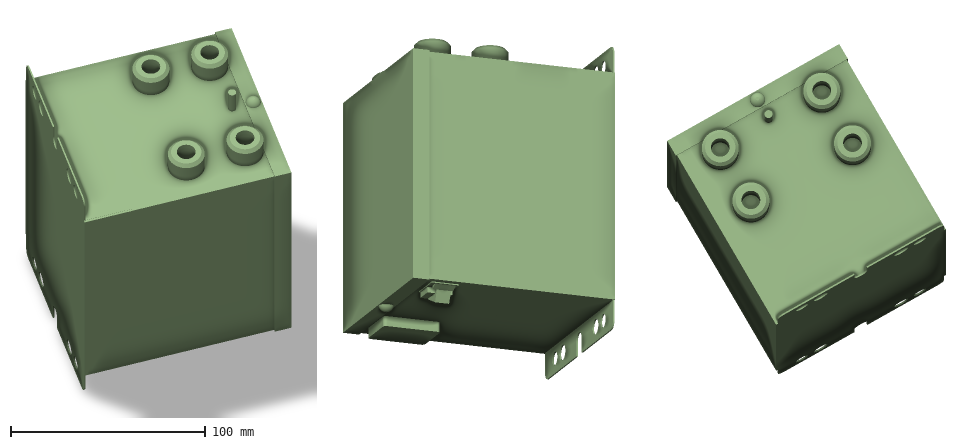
import cadquery as cq
import math

COVER_WIDTH = 102.11
TOTAL_DEPTH = 111.51
PLATE_HEIGHT = 152.4

COVER_HEIGHT = 123.8
COVER_DEPTH = 8.96
COVER_STEP = 0.7
BODY_WIDTH = COVER_WIDTH - 2 * COVER_STEP
BODY_HEIGHT = COVER_HEIGHT - 2 * COVER_STEP
FRONT_Y = -TOTAL_DEPTH / 2
REAR_Y = TOTAL_DEPTH / 2
BODY_TOP = BODY_HEIGHT / 2
BODY_BOTTOM = -BODY_TOP

EDGE_STEP_WIDTH = 1.2
EDGE_STEP_LENGTH = 25.7
EDGE_STEP_DEPTH = 0.1

PLATE_WIDTH = 98.4
PLATE_THICKNESS = 0.8
PLATE_CORNER_RADIUS = 3.8
HOLE_Z = PLATE_HEIGHT / 2 - 7.94
OUTER_HOLE_X = 35.0
OUTER_HOLE_DIAMETER = 7.14
INNER_HOLE_X = 23.9
INNER_HOLE_DIAMETER = 8.2
SLOT_WIDTH = 7.5
SLOT_DEPTH = 11.8

GROMMET_DIAMETER = 19.05
GROMMET_BORE = 9.65
GROMMET_HEIGHT = 11.5
GROMMET_CHAMFER = 1.7
GROMMET_X = 30.15
GROMMET_ROWS_Y = (37.3, 5.55)

PIN_DIAMETER = 4.17
PIN_HEIGHT = 12.7
PIN_Y = 39.9

SCREW_DIAMETER = 7.8
SCREW_HEIGHT = 3.0
SCREW_FLAT_DIAMETER = 1.8
SCREW_Y = REAR_Y - COVER_DEPTH / 2

INLET_X = 30.0
INLET_WIDTH = 24.0
INLET_REAR_Y = 45.6
INLET_LENGTH = 31.2
INLET_HEIGHT = 5.4
INLET_CORNER_RADIUS = 1.8

SWITCH_LEFT_X = -46.0
SWITCH_RIGHT_X = -28.5
SWITCH_Y = 36.35
SWITCH_LENGTH = 13.7
SWITCH_HEIGHT = 3.6
FLANGE_MARGIN = 0.6
FLANGE_THICKNESS = 0.6
RAMP_Y = 35.8
RAMP_LENGTH = 11.4
RAMP_HEIGHT = 2.4
ROCKER_Y = 35.15
ROCKER_LENGTH = 7.75
ROCKER_PEAK_X = -38.7
ROCKER_HEIGHT = 8.5
ROCKER_TILT_SLOPE = math.tan(math.radians(24))


def box(width, length, height, x, y, bottom):
    """Box centred on (x, y) and standing on the level `bottom`."""
    return cq.Workplane("XY", origin=(x, y, bottom)).rect(width, length).extrude(height)


def make_body():
    body = box(BODY_WIDTH, TOTAL_DEPTH, BODY_HEIGHT, 0, 0, BODY_BOTTOM)
    cover_y = REAR_Y - COVER_DEPTH / 2
    cover = box(COVER_WIDTH, COVER_DEPTH, COVER_HEIGHT, 0, cover_y, -COVER_HEIGHT / 2)
    edge_step = box(
        EDGE_STEP_WIDTH,
        EDGE_STEP_LENGTH,
        EDGE_STEP_DEPTH,
        (BODY_WIDTH - EDGE_STEP_WIDTH) / 2,
        FRONT_Y + EDGE_STEP_LENGTH / 2,
        BODY_TOP - EDGE_STEP_DEPTH,
    )
    return body.cut(edge_step).union(cover)


def make_plate():
    y = FRONT_Y + PLATE_THICKNESS / 2
    plate = box(PLATE_WIDTH, PLATE_THICKNESS, PLATE_HEIGHT, 0, y, -PLATE_HEIGHT / 2)
    return plate.edges("|Y").fillet(PLATE_CORNER_RADIUS)


def make_plate_cuts():
    """Holes and open-ended slots through the top and bottom of the plate."""
    sketch = cq.Workplane("XZ", origin=(0, FRONT_Y + PLATE_THICKNESS, 0))
    cuts = cq.Workplane("XZ")
    for x, diameter in ((OUTER_HOLE_X, OUTER_HOLE_DIAMETER), (INNER_HOLE_X, INNER_HOLE_DIAMETER)):
        centres = [(side * x, end * HOLE_Z) for side in (-1, 1) for end in (-1, 1)]
        cuts = cuts.union(sketch.pushPoints(centres).circle(diameter / 2).extrude(PLATE_THICKNESS))
    slot_ends = [(0, end * PLATE_HEIGHT / 2) for end in (-1, 1)]
    slots = sketch.pushPoints(slot_ends).slot2D(2 * SLOT_DEPTH, SLOT_WIDTH, 90).extrude(PLATE_THICKNESS)
    return cuts.union(slots)


def make_grommet(x, y):
    grommet = cq.Workplane("XY", origin=(x, y, BODY_TOP)).circle(GROMMET_DIAMETER / 2).extrude(GROMMET_HEIGHT)
    grommet = grommet.faces(">Z").chamfer(GROMMET_CHAMFER)
    bore = cq.Workplane("XY", origin=(x, y, BODY_TOP)).circle(GROMMET_BORE / 2).extrude(GROMMET_HEIGHT)
    return grommet.cut(bore)


def make_pin():
    return cq.Workplane("XY", origin=(0, PIN_Y, BODY_TOP)).circle(PIN_DIAMETER / 2).extrude(PIN_HEIGHT)


def make_top_screw():
    radius = SCREW_DIAMETER / 2
    flat_radius = SCREW_FLAT_DIAMETER / 2
    centre_z = (SCREW_HEIGHT**2 + flat_radius**2 - radius**2) / (2 * SCREW_HEIGHT)
    sphere_radius = math.hypot(radius, centre_z)
    sphere = cq.Workplane("XY", origin=(0, 0, centre_z)).sphere(sphere_radius)
    head = sphere.intersect(box(SCREW_DIAMETER, SCREW_DIAMETER, SCREW_HEIGHT, 0, 0, 0))
    return head.translate((0, SCREW_Y, COVER_HEIGHT / 2))


def make_inlet():
    y = INLET_REAR_Y - INLET_LENGTH / 2
    inlet = box(INLET_WIDTH, INLET_LENGTH, INLET_HEIGHT, INLET_X, y, BODY_BOTTOM - INLET_HEIGHT)
    return inlet.edges("|Z").fillet(INLET_CORNER_RADIUS)


def make_side_profile(points, length, y):
    """Extrude an outline in X and depth below the body, centred on y."""
    profile = cq.Workplane("XZ", origin=(0, y, BODY_BOTTOM))
    return profile.polyline([(x, -depth) for x, depth in points]).close().extrude(length / 2, both=True)


def make_switch():
    ramp_end_x = ROCKER_PEAK_X - (ROCKER_HEIGHT - RAMP_HEIGHT) * ROCKER_TILT_SLOPE
    ramp_start_x = ramp_end_x - (RAMP_HEIGHT - FLANGE_THICKNESS) / ROCKER_TILT_SLOPE
    rocker_end_depth = ROCKER_HEIGHT - (SWITCH_RIGHT_X - ROCKER_PEAK_X) * ROCKER_TILT_SLOPE

    housing = box(
        SWITCH_RIGHT_X - ROCKER_PEAK_X,
        SWITCH_LENGTH,
        SWITCH_HEIGHT,
        (SWITCH_RIGHT_X + ROCKER_PEAK_X) / 2,
        SWITCH_Y,
        BODY_BOTTOM - SWITCH_HEIGHT,
    )
    flange = box(
        SWITCH_RIGHT_X - SWITCH_LEFT_X + 2 * FLANGE_MARGIN,
        SWITCH_LENGTH + 2 * FLANGE_MARGIN,
        FLANGE_THICKNESS,
        (SWITCH_RIGHT_X + SWITCH_LEFT_X) / 2,
        SWITCH_Y,
        BODY_BOTTOM - FLANGE_THICKNESS,
    )
    ramp = make_side_profile(
        [
            (ramp_start_x, 0),
            (ramp_start_x, FLANGE_THICKNESS),
            (ramp_end_x, RAMP_HEIGHT),
            (ramp_end_x, 0),
        ],
        RAMP_LENGTH,
        RAMP_Y,
    )
    rocker = make_side_profile(
        [
            (ramp_end_x, 0),
            (ramp_end_x, RAMP_HEIGHT),
            (ROCKER_PEAK_X, ROCKER_HEIGHT),
            (SWITCH_RIGHT_X, rocker_end_depth),
            (SWITCH_RIGHT_X, 0),
        ],
        ROCKER_LENGTH,
        ROCKER_Y,
    )
    return housing.union(flange).union(ramp).union(rocker)


result = make_body().union(make_plate()).cut(make_plate_cuts())
for grommet_x in (-GROMMET_X, GROMMET_X):
    for grommet_y in GROMMET_ROWS_Y:
        result = result.union(make_grommet(grommet_x, grommet_y))
top_screw = make_top_screw()
result = result.union(make_pin()).union(top_screw).union(top_screw.mirror("XY"))
result = result.union(make_inlet()).union(make_switch())